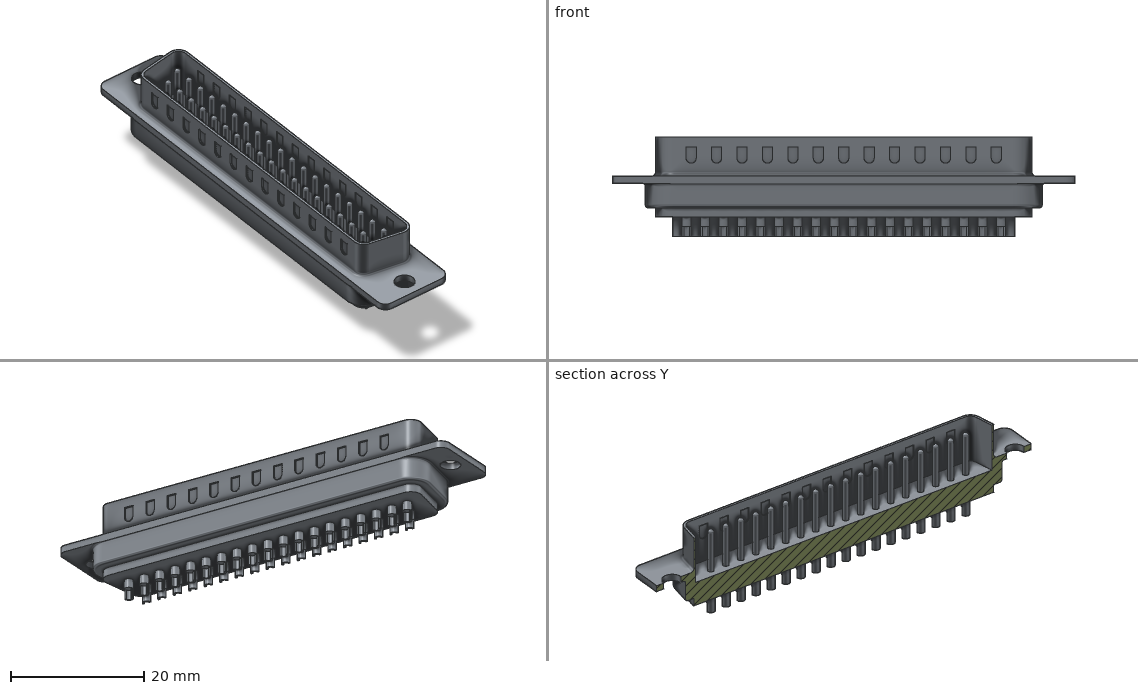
import cadquery as cq
import math


FLANGE_LENGTH = 69.35
FLANGE_WIDTH = 12.55
FLANGE_THICKNESS = 1.1
FLANGE_CORNER_RADIUS = 1.5
MOUNTING_HOLE_SPACING = 63.5
MOUNTING_HOLE_DIAMETER = 3.1

SHELL_LENGTH = 56.5
SHELL_WIDTH = 9.2
SHELL_HEIGHT = 5.9
SHELL_WALL = 0.4
SHELL_CORNER_RADIUS = 1.7
SHELL_SIDE_ANGLE = 10.0
SHELL_BASE_FILLET = 0.55
CAVITY_DEPTH = 7.9

HOUSING_OFFSET = 1.5
HOUSING_DEPTH = 3.7
HOUSING_TOP_FILLET = 0.35
HOUSING_BOTTOM_FILLET = 0.5
PLUG_DEPTH = 1.3

DIMPLE_COUNT = 13
DIMPLE_PITCH = 3.8
DIMPLE_WIDTH = 1.5
DIMPLE_HEIGHT = 2.4
DIMPLE_BELOW_RIM = 1.5
DIMPLE_OUTER_DEPTH = 0.2
DIMPLE_INNER_DEPTH = 0.1

CONTACT_PITCH = 2.8
ROW_SPACING = 2.85
BACK_ROW_COUNT = 19
FRONT_ROW_COUNT = BACK_ROW_COUNT - 1
PIN_DIAMETER = 1.0
PIN_BELOW_RIM = 0.7
CUP_DIAMETER = 1.4
CUP_BORE_DIAMETER = 0.8
CUP_LENGTH = 3.0
CUP_OPENING_LENGTH = 1.5

SELECTION_MARGIN = 0.1

FLANGE_TOP = FLANGE_THICKNESS
RIM = FLANGE_TOP + SHELL_HEIGHT
HOUSING_BOTTOM = -HOUSING_DEPTH
PLUG_BOTTOM = HOUSING_BOTTOM - PLUG_DEPTH
CUP_BOTTOM = PLUG_BOTTOM - CUP_LENGTH
CAVITY_FLOOR = RIM - CAVITY_DEPTH
PIN_TIP = RIM - PIN_BELOW_RIM


def d_prism(offset, bottom, top):
    """Prism with the rounded D outline of the shell, grown by offset."""
    radius = SHELL_CORNER_RADIUS + offset
    angle = math.radians(SHELL_SIDE_ANGLE)
    center_y = SHELL_WIDTH / 2 - SHELL_CORNER_RADIUS
    upper_x = SHELL_LENGTH / 2 - SHELL_CORNER_RADIUS
    lower_x = upper_x - 2 * center_y * math.tan(angle)

    def on_upper_arc(direction):
        return (upper_x + radius * math.cos(direction), center_y + radius * math.sin(direction))

    def on_lower_arc(direction):
        return (lower_x + radius * math.cos(direction), -center_y + radius * math.sin(direction))

    def mirrored(point):
        return (-point[0], point[1])

    up = math.pi / 2
    side = -angle
    upper_start, upper_middle, upper_end = [on_upper_arc(a) for a in (up, (up + side) / 2, side)]
    lower_start, lower_middle, lower_end = [on_lower_arc(a) for a in (side, (side - up) / 2, -up)]
    return (
        cq.Workplane("XY", origin=(0, 0, bottom))
        .moveTo(*upper_start)
        .threePointArc(upper_middle, upper_end)
        .lineTo(*lower_start)
        .threePointArc(lower_middle, lower_end)
        .lineTo(*mirrored(lower_end))
        .threePointArc(mirrored(lower_middle), mirrored(lower_start))
        .lineTo(*mirrored(upper_end))
        .threePointArc(mirrored(upper_middle), mirrored(upper_start))
        .close()
        .extrude(top - bottom)
    )


def flange_prism(bottom, top):
    """Rounded rectangle with the flange outline."""
    return (
        cq.Workplane("XY", origin=(0, 0, bottom))
        .rect(FLANGE_LENGTH, FLANGE_WIDTH)
        .extrude(top - bottom)
        .edges("|Z")
        .fillet(FLANGE_CORNER_RADIUS)
    )


def edges_at(solid, level, length, width):
    """Edges of the solid at one level that lie within a centred length x width rectangle."""
    box = cq.selectors.BoxSelector(
        (-length / 2 - SELECTION_MARGIN, -width / 2 - SELECTION_MARGIN, level - SELECTION_MARGIN),
        (length / 2 + SELECTION_MARGIN, width / 2 + SELECTION_MARGIN, level + SELECTION_MARGIN),
        boundingbox=True,
    )
    return solid.edges(box)


def make_body():
    """Flange, shell and housing with their blends, trimmed to the flange outline."""
    housing_length = SHELL_LENGTH + 2 * HOUSING_OFFSET
    housing_width = SHELL_WIDTH + 2 * HOUSING_OFFSET
    body = cq.Workplane("XY").box(
        FLANGE_LENGTH, 2 * FLANGE_WIDTH, FLANGE_THICKNESS, centered=(True, True, False)
    )
    body = body.union(d_prism(0, FLANGE_TOP, RIM))
    body = body.union(d_prism(HOUSING_OFFSET, HOUSING_BOTTOM, 0))
    body = edges_at(body, FLANGE_TOP, SHELL_LENGTH, SHELL_WIDTH).fillet(SHELL_BASE_FILLET)
    body = edges_at(body, 0, housing_length, housing_width).fillet(HOUSING_TOP_FILLET)
    body = body.faces("<Z").edges().fillet(HOUSING_BOTTOM_FILLET)
    body = body.intersect(flange_prism(HOUSING_BOTTOM, RIM))
    body = body.union(d_prism(0, PLUG_BOTTOM, HOUSING_BOTTOM))
    body = body.cut(d_prism(-SHELL_WALL, CAVITY_FLOOR, RIM))
    holes = (
        cq.Workplane("XY")
        .pushPoints([(-MOUNTING_HOLE_SPACING / 2, 0), (MOUNTING_HOLE_SPACING / 2, 0)])
        .circle(MOUNTING_HOLE_DIAMETER / 2)
        .extrude(FLANGE_THICKNESS)
    )
    return body.cut(holes)


def dimple_row(start_y, end_y):
    """Row of round-bottomed dimple blocks between two Y positions."""
    half_width = DIMPLE_WIDTH / 2
    top = RIM - DIMPLE_BELOW_RIM
    bottom = top - DIMPLE_HEIGHT
    arc_level = bottom + half_width
    row = cq.Workplane("XZ", origin=(0, end_y, 0))
    for index in range(DIMPLE_COUNT):
        x = (index - (DIMPLE_COUNT - 1) / 2) * DIMPLE_PITCH
        row = (
            row.moveTo(x - half_width, top)
            .lineTo(x + half_width, top)
            .lineTo(x + half_width, arc_level)
            .threePointArc((x, bottom), (x - half_width, arc_level))
            .close()
        )
    return row.extrude(end_y - start_y)


def make_dimples():
    """Shallow dimples in the outer and inner faces of both long shell walls."""
    outer_face = SHELL_WIDTH / 2
    inner_face = outer_face - SHELL_WALL
    dimples = dimple_row(outer_face - DIMPLE_OUTER_DEPTH, outer_face)
    dimples = dimples.add(dimple_row(inner_face, inner_face + DIMPLE_INNER_DEPTH))
    return dimples.add(dimples.mirror("XZ")).combine()


def make_contact(open_side):
    """Pin and solder cup of one contact at X = Y = 0, the cup open towards open_side (+1 or -1) in Y."""
    pin_radius = PIN_DIAMETER / 2
    cup_radius = CUP_DIAMETER / 2
    pin_start = cq.Workplane("XY", origin=(0, 0, HOUSING_BOTTOM))
    pin = pin_start.circle(pin_radius).extrude(PIN_TIP - pin_radius - HOUSING_BOTTOM)
    tip = cq.Workplane("XY", origin=(0, 0, PIN_TIP - pin_radius)).sphere(pin_radius)
    cup_start = cq.Workplane("XY", origin=(0, 0, CUP_BOTTOM))
    cup = cup_start.circle(cup_radius).extrude(HOUSING_BOTTOM - CUP_BOTTOM)
    bore = cup_start.circle(CUP_BORE_DIAMETER / 2).extrude(CUP_OPENING_LENGTH)
    opening = cup_start.center(0, open_side * cup_radius / 2).rect(CUP_DIAMETER, cup_radius)
    opening = opening.extrude(CUP_OPENING_LENGTH)
    return pin.union(tip), cup.cut(bore).cut(opening)


def contact_row(count, y, open_side):
    """List of the pins and cups of one row, centred on X = 0."""
    parts = []
    pin, cup = make_contact(open_side)
    for index in range(count):
        x = (index - (count - 1) / 2) * CONTACT_PITCH
        parts.append(pin.translate((x, y, 0)).val())
        parts.append(cup.translate((x, y, 0)).val())
    return parts


contacts = contact_row(BACK_ROW_COUNT, ROW_SPACING / 2, 1)
contacts += contact_row(FRONT_ROW_COUNT, -ROW_SPACING / 2, -1)

body = make_body().cut(make_dimples())
result = cq.Workplane("XY").newObject([body.val().fuse(*contacts)])